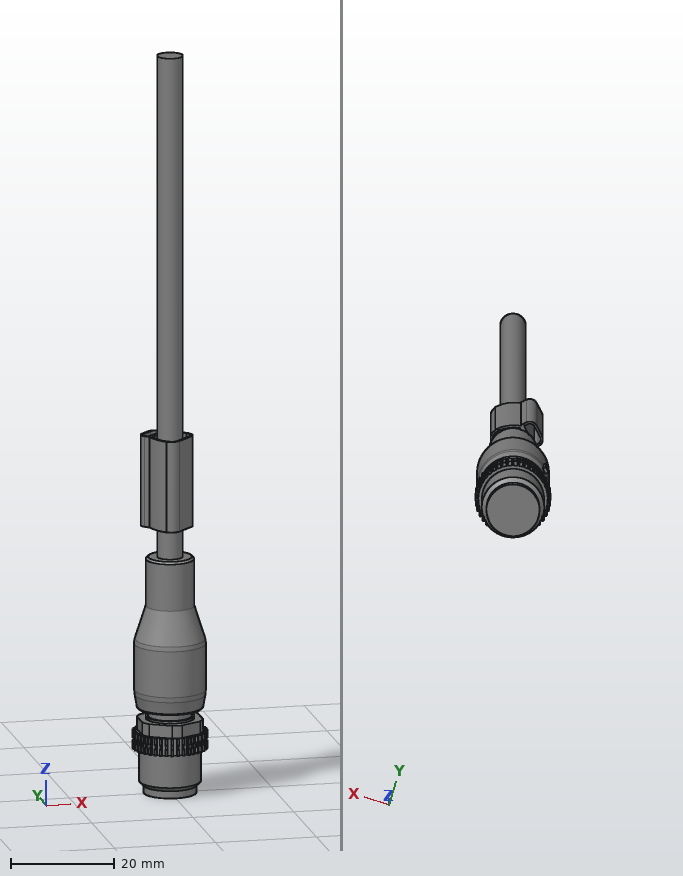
import cadquery as cq
import math

total_height = 147.0

cable_radius = 2.5

tip_radius = 5.1
tip_height = 1.5
neck_radius = 4.3
collar_radius = 4.7
collar_height = 0.5

nut_radius = 6.0
nut_chamfer = 0.9
nut_top = 14.8
hex_across_flats = 2 * nut_radius
hex_corner_radius = 6.5
knurl_diameter = 14.5
knurl_radius = knurl_diameter / 2
knurl_bottom = 9.0
knurl_top = 12.3
knurl_groove_width = 0.9
knurl_groove_depth = 0.5
tooth_count = 40
tooth_gap_width = 0.7
tooth_gap_depth = 0.6

grip_bottom = 16.9
grip_diameter = 14.0
grip_radius = grip_diameter / 2
grip_rim_radius = 6.5
grip_rim_chamfer = 0.3
grip_barrel_bottom = 20.1
grip_barrel_top = 30.3
barrel_bottom_blend = 5.9
barrel_top_blend = 3.0
sleeve_radius = 4.7
sleeve_bottom = 37.3
sleeve_top = 47.0
sleeve_chamfer = 0.5
mark_bottom = 18.8
mark_top = 21.8
mark_width = 1.2
mark_height = 0.5

clip_bottom = 52.9
clip_top = 71.0
clip_turn = -45.0
clip_wall = 0.5
plate_offset = 3.5
plate_half_width = 4.1
plate_corner = 1.8
corner_step = 0.1
side_radius = 8.0
divider_offset = 3.1
pocket_half_width = 2.6
pocket_end = 5.7
pocket_corner = 1.5

edge_tolerance = 0.1


def disc(radius, bottom, top):
    return cq.Workplane("XY").workplane(offset=bottom).circle(radius).extrude(top - bottom)


def make_cable():
    return disc(cable_radius, grip_bottom, total_height)


def make_carrier():
    tip = disc(tip_radius, 0, tip_height)
    neck = disc(neck_radius, tip_height, grip_bottom)
    collar = disc(collar_radius, nut_top, nut_top + collar_height)
    return tip.union(neck).union(collar)


def cut_knurl(ring):
    """Cut the straight gaps between the teeth and the groove around the ring."""
    first_gap_angle = 180 / tooth_count
    gaps = (
        cq.Workplane("XY")
        .workplane(offset=knurl_bottom)
        .polarArray(knurl_radius, first_gap_angle, 360, tooth_count)
        .rect(2 * tooth_gap_depth, tooth_gap_width)
        .extrude(knurl_top - knurl_bottom)
    )
    groove_bottom = (knurl_bottom + knurl_top - knurl_groove_width) / 2
    groove_top = groove_bottom + knurl_groove_width
    groove = disc(knurl_radius, groove_bottom, groove_top).cut(
        disc(knurl_radius - knurl_groove_depth, groove_bottom, groove_top)
    )
    return ring.cut(gaps).cut(groove)


def make_nut():
    barrel = disc(nut_radius, tip_height, knurl_bottom).faces("<Z").chamfer(nut_chamfer)
    ring = cut_knurl(disc(knurl_radius, knurl_bottom, knurl_top))
    hexagon = (
        cq.Workplane("XY")
        .workplane(offset=knurl_top)
        .polygon(6, hex_across_flats, circumscribed=True)
        .extrude(nut_top - knurl_top)
        .intersect(disc(hex_corner_radius, knurl_top, nut_top))
    )
    bore = disc(neck_radius, tip_height, nut_top)
    return barrel.union(ring).union(hexagon).cut(bore)


def blend_ring(body, height, radius):
    """Round the circular edge at one height of the grip."""
    edge = cq.selectors.BoxSelector(
        (-2 * grip_radius, -2 * grip_radius, height - edge_tolerance),
        (2 * grip_radius, 2 * grip_radius, height + edge_tolerance),
    )
    return body.edges("%CIRCLE").edges(edge).fillet(radius)


def make_grip():
    rim_top = grip_bottom + grip_rim_chamfer
    body = (
        cq.Workplane("XZ")
        .moveTo(0, grip_bottom)
        .lineTo(grip_rim_radius - grip_rim_chamfer, grip_bottom)
        .lineTo(grip_rim_radius, rim_top)
        .lineTo(grip_radius, grip_barrel_bottom)
        .lineTo(grip_radius, grip_barrel_top)
        .lineTo(sleeve_radius, sleeve_bottom)
        .lineTo(sleeve_radius, sleeve_top - sleeve_chamfer)
        .lineTo(sleeve_radius - sleeve_chamfer, sleeve_top)
        .lineTo(0, sleeve_top)
        .close()
        .revolve(360, (0, 0, 0), (0, 1, 0))
    )
    body = blend_ring(body, grip_barrel_bottom, barrel_bottom_blend)
    body = blend_ring(body, grip_barrel_top, barrel_top_blend)
    mark_reach = grip_radius + mark_height
    mark = (
        cq.Workplane("XY")
        .box(mark_reach, mark_width, mark_top - mark_bottom, centered=(False, True, False))
        .translate((0, 0, mark_bottom))
        .rotate((0, 0, 0), (0, 0, 1), 180 + clip_turn)
    )
    return body.union(mark).cut(disc(cable_radius, grip_bottom, sleeve_top))


def make_clip():
    height = clip_top - clip_bottom
    base = cq.Workplane("XY").workplane(offset=clip_bottom)
    corner_start = plate_offset - plate_corner
    corner_half_width = plate_half_width - corner_step
    plate_edge = corner_half_width - plate_corner
    side_reach = corner_start + divider_offset
    divider_edge = plate_half_width - side_radius + math.sqrt(side_radius**2 - side_reach**2)
    cable_chamber = (
        base.moveTo(plate_offset, -plate_edge)
        .lineTo(plate_offset, plate_edge)
        .radiusArc((corner_start, corner_half_width), -plate_corner)
        .lineTo(corner_start, plate_half_width)
        .radiusArc((-divider_offset, divider_edge), -side_radius)
        .lineTo(-divider_offset, -divider_edge)
        .radiusArc((corner_start, -plate_half_width), -side_radius)
        .lineTo(corner_start, -corner_half_width)
        .radiusArc((plate_offset, -plate_edge), -plate_corner)
        .close()
        .extrude(height)
        .faces("<Z or >Z")
        .shell(-clip_wall)
    )
    pocket = (
        base.center(-(pocket_end + divider_offset) / 2, 0)
        .rect(pocket_end - divider_offset, 2 * pocket_half_width)
        .extrude(height)
        .edges("|Z and <X")
        .fillet(pocket_corner)
        .faces("<Z or >Z")
        .shell(-clip_wall)
    )
    return cable_chamber.union(pocket).rotate((0, 0, 0), (0, 0, 1), clip_turn)


result = cq.Compound.makeCompound(
    [
        make_cable().val(),
        make_carrier().val(),
        make_nut().val(),
        make_grip().val(),
        make_clip().val(),
    ]
)